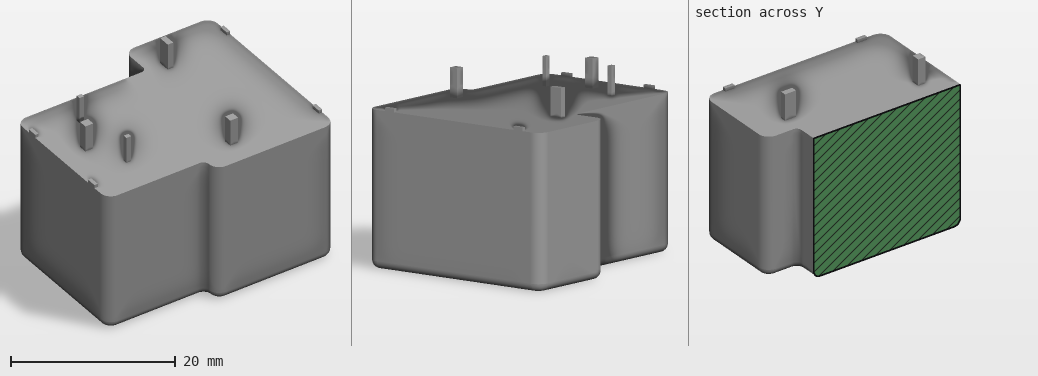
import cadquery as cq


width = 26.9
length = 31.85
total_height = 23.39
pin_height = 3.7
housing_height = total_height - pin_height
left_step_width = 4.8
left_step_length = 12.7
right_step_width = 2.3
right_step_length = 17.5
corner_radius = 1.5
left_inner_radius = 0.7
right_inner_radius = right_step_width - corner_radius
bottom_fillet = 1.0

common_to_left = 14.2
common_to_back = 27.84

grid = 2.54
contact_offset_x = 3.5 * grid
square_pin_width = 1.15
right_pin_width_x = 1.1
left_pin_size = (1.65, 0.8)
coil_pin_size = (0.6, 0.7)

tab_width = 1.4
tab_depth = 0.5
tab_height = 0.45
tab_inset = 3.5

left = -common_to_left
right = left + width
back = common_to_back
front = back - length
front_left = left + left_step_width
front_right = right - right_step_width
left_step_y = back - left_step_length
right_step_y = back - right_step_length


def make_housing():
    """Stepped block with rounded upright corners and a rounded bottom rim."""
    r = corner_radius
    outline = (
        cq.Workplane("XY")
        .moveTo(front_left + r, front)
        .lineTo(front_right - r, front)
        .tangentArcPoint((front_right, front + r), relative=False)
        .lineTo(front_right, right_step_y - right_inner_radius)
        .tangentArcPoint((right - r, right_step_y), relative=False)
        .tangentArcPoint((right, right_step_y + r), relative=False)
        .lineTo(right, back - r)
        .tangentArcPoint((right - r, back), relative=False)
        .lineTo(left + r, back)
        .tangentArcPoint((left, back - r), relative=False)
        .lineTo(left, left_step_y + r)
        .tangentArcPoint((left + r, left_step_y), relative=False)
        .lineTo(front_left - left_inner_radius, left_step_y)
        .tangentArcPoint((front_left, left_step_y - left_inner_radius), relative=False)
        .lineTo(front_left, front + r)
        .tangentArcPoint((front_left + r, front), relative=False)
        .close()
    )
    return outline.extrude(-housing_height).faces("<Z").edges().fillet(bottom_fillet)


def make_post(x, y, size_x, size_y, height):
    """Rectangular post standing on the top face, centred on (x, y)."""
    return cq.Workplane("XY").center(x, y).rect(size_x, size_y).extrude(height)


def add_pins(body):
    """Common and right contact, left contact, and the two coil pins."""
    pins = [
        (0, 0, square_pin_width, square_pin_width),
        (contact_offset_x, 6 * grid, right_pin_width_x, square_pin_width),
        (-contact_offset_x, 7 * grid, *left_pin_size),
        (-2 * grid, grid, *coil_pin_size),
        (2 * grid, grid, *coil_pin_size),
    ]
    for x, y, size_x, size_y in pins:
        body = body.union(make_post(x, y, size_x, size_y, pin_height))
    return body


def add_tabs(body):
    """Two tabs flush with the back face and two flush with the front face."""
    back_y = back - tab_depth / 2
    front_y = front + tab_depth / 2
    positions = [
        (left + tab_inset, back_y),
        (right - tab_inset, back_y),
        (front_left + tab_inset, front_y),
        (front_right - tab_inset, front_y),
    ]
    for x, y in positions:
        body = body.union(make_post(x, y, tab_width, tab_depth, tab_height))
    return body


result = add_tabs(add_pins(make_housing()))